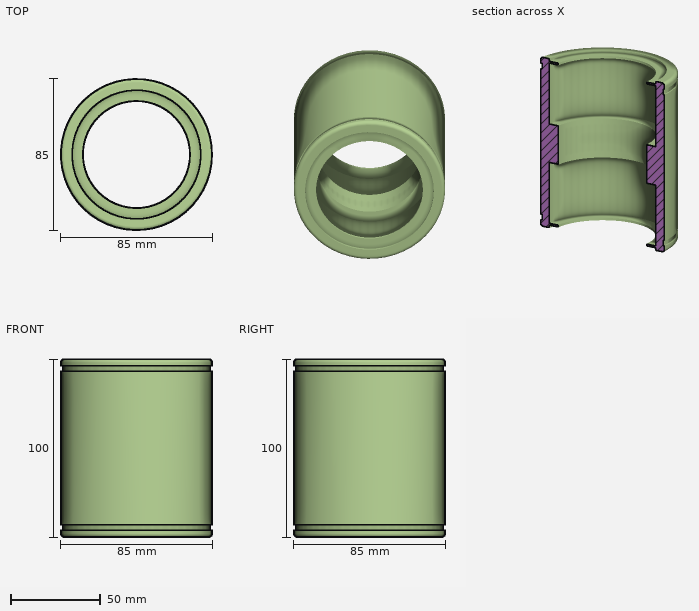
import cadquery as cq

outer_diameter = 85.0
length = 100.0
rim_fillet = 2.0

groove_diameter = 83.0
groove_width = 3.0
groove_offset = 3.85

bore_diameter = 60.0
chamber_diameter = 72.3
lip_recess = 1.5
lip_thickness = 1.35
web_depth = 38.5


def disc(diameter, bottom, height):
    """Solid cylinder on the Z axis, starting at the given height."""
    return cq.Workplane("XY").workplane(offset=bottom).circle(diameter / 2).extrude(height)


def at_both_ends(diameter, depth, height):
    """Two cylinders of equal height, each starting at the given depth below an end face."""
    lower = disc(diameter, depth, height)
    upper = disc(diameter, length - depth - height, height)
    return lower.union(upper)


def make_body():
    return disc(outer_diameter, 0, length).edges().fillet(rim_fillet)


def make_grooves():
    envelope = at_both_ends(outer_diameter, groove_offset, groove_width)
    core = at_both_ends(groove_diameter, groove_offset, groove_width)
    return envelope.cut(core)


def make_cavity():
    bore = disc(bore_diameter, 0, length)
    recesses = at_both_ends(chamber_diameter, 0, lip_recess)
    chamber_depth = lip_recess + lip_thickness
    chambers = at_both_ends(chamber_diameter, chamber_depth, web_depth - chamber_depth)
    return bore.union(recesses).union(chambers)


result = make_body().cut(make_grooves()).cut(make_cavity())